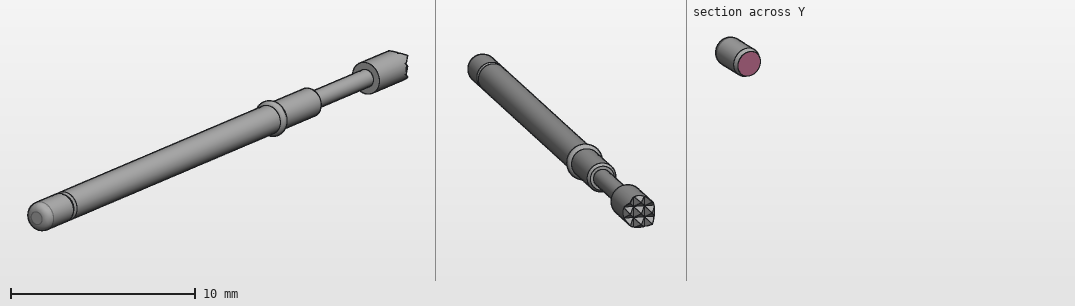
import cadquery as cq
import math

total_length = 34.3
tip_y = total_length / 2
tail_y = -total_length / 2

head_diameter = 1.8
head_length = 3.1

tooth_pitch = 0.62
teeth_per_row = 3
tooth_depth = 0.5
bevel_depth = 0.55

shaft_diameter = 1.0

barrel_diameter = 1.6
barrel_start = 8.3
mouth_chamfer_length = 0.17
mouth_chamfer_width = 0.15
tail_radius = 0.45

ring_diameter = 2.0
ring_start = 11.8
ring_length = 0.55

groove_distance = 2.33
groove_width = 0.35
groove_steep_width = 0.1
groove_depth = 0.15


def cylinder(diameter, start_y, end_y):
    """Solid cylinder on the Y axis between two Y positions."""
    length = end_y - start_y
    return cq.Workplane("XZ", origin=(0, end_y, 0)).circle(diameter / 2).extrude(length)


def make_barrel():
    """Barrel profile revolved about Y, with chamfered mouth, press ring, crimp groove and rounded tail."""
    radius = barrel_diameter / 2
    mouth_y = tip_y - barrel_start
    ring_front_y = tip_y - ring_start
    ring_back_y = ring_front_y - ring_length
    ring_middle_y = (ring_front_y + ring_back_y) / 2
    groove_back_y = tail_y + groove_distance
    groove_front_y = groove_back_y + groove_width
    tail_flat_radius = radius - tail_radius
    arc_offset = tail_radius * math.sqrt(0.5)
    return (
        cq.Workplane("YZ")
        .moveTo(tail_y, 0)
        .lineTo(tail_y, tail_flat_radius)
        .threePointArc(
            (tail_y + tail_radius - arc_offset, tail_flat_radius + arc_offset),
            (tail_y + tail_radius, radius),
        )
        .lineTo(groove_back_y, radius)
        .lineTo(groove_front_y - groove_steep_width, radius - groove_depth)
        .lineTo(groove_front_y, radius)
        .lineTo(ring_back_y, radius)
        .threePointArc((ring_middle_y, ring_diameter / 2), (ring_front_y, radius))
        .lineTo(mouth_y - mouth_chamfer_length, radius)
        .lineTo(mouth_y, radius - mouth_chamfer_width)
        .lineTo(mouth_y, 0)
        .close()
        .revolve(360, (0, 0, 0), (1, 0, 0))
    )


def make_triangle_cutter(corners):
    """Triangular prism running along Z through the whole head."""
    return cq.Workplane("XY").polyline(corners).close().extrude(head_diameter, both=True)


def make_tooth_cutters():
    """V grooves between the teeth and bevels outside them, all running along Z."""
    outer_tip_x = tooth_pitch * (teeth_per_row - 1) / 2
    rim_x = head_diameter / 2
    cutters = []
    for index in range(teeth_per_row - 1):
        left_tip_x = index * tooth_pitch - outer_tip_x
        groove = [
            (left_tip_x, tip_y),
            (left_tip_x + tooth_pitch / 2, tip_y - tooth_depth),
            (left_tip_x + tooth_pitch, tip_y),
        ]
        cutters.append(make_triangle_cutter(groove))
    for side in (-1, 1):
        bevel = [
            (side * outer_tip_x, tip_y),
            (side * rim_x, tip_y),
            (side * rim_x, tip_y - bevel_depth),
        ]
        cutters.append(make_triangle_cutter(bevel))
    return cutters


def make_head():
    head = cylinder(head_diameter, tip_y - head_length, tip_y)
    for cutter in make_tooth_cutters():
        crossing_cutter = cutter.rotate((0, 0, 0), (0, 1, 0), 90)
        head = head.cut(cutter).cut(crossing_cutter)
    return head


def make_shaft():
    return cylinder(shaft_diameter, tip_y - barrel_start, tip_y - head_length)


result = make_barrel().union(make_shaft()).union(make_head())